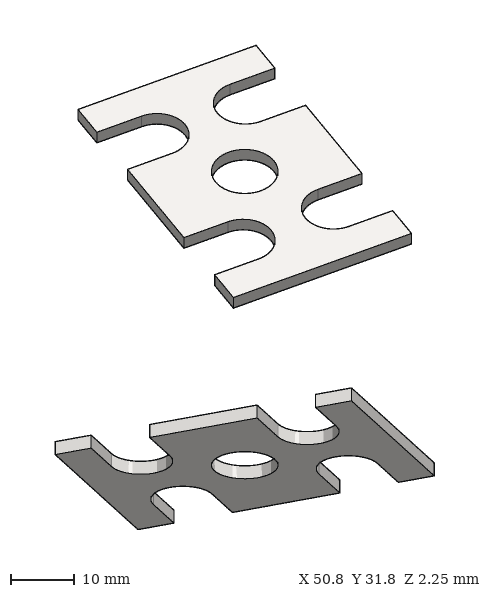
import cadquery as cq

length = 50.8
width = 31.75
thickness = 2.25

hole_diameter = 10.4

slot_width = 10.0
slot_offset = 14.2
left_web = 5.75
right_web = 6.1


def edge_slot(x, web, side):
    """Slot running from its round inner end out through the +Y (1) or -Y (-1) edge."""
    radius = slot_width / 2
    round_end_y = side * (web / 2 + radius)
    edge_y = side * width / 2
    return (
        cq.Workplane("XY")
        .moveTo(x - radius, edge_y)
        .lineTo(x - radius, round_end_y)
        .threePointArc((x, side * web / 2), (x + radius, round_end_y))
        .lineTo(x + radius, edge_y)
        .close()
        .extrude(thickness)
    )


plate = cq.Workplane("XY").rect(length, width).extrude(thickness)
plate = plate.faces(">Z").workplane().hole(hole_diameter)

for x, web in ((-slot_offset, left_web), (slot_offset, right_web)):
    for side in (-1, 1):
        plate = plate.cut(edge_slot(x, web, side))

result = plate